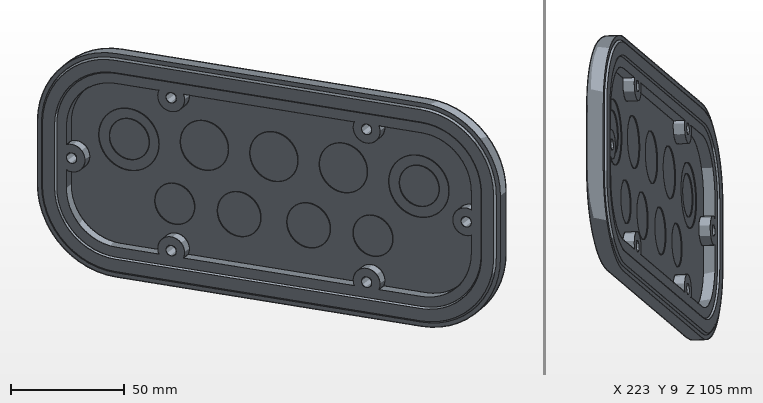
import cadquery as cq

LENGTH = 223.0
HEIGHT = 105.0
THICKNESS = 9.0
CORNER_RADIUS = 38.0
BACK_FILLET = 2.5

RIM_RISE = 1.0
RIM_BASE_INSET = 2.0
RIM_TOP_INSET = 3.0

SEAT_DEPTH = 1.0
SEAT_TOP_INSET = 8.7
SEAT_FLOOR_INSET = 9.4

POCKET_INSET = 14.0
POCKET_DEPTH = 5.1

BOSS_RADIUS = 6.5
HOLE_DIAMETER = 5.0
SIDE_BOSS_X = 95.0
EDGE_BOSS_X = 47.0
EDGE_BOSS_Z = 36.0

RECESS_DEPTH = 0.5
UPPER_ROW_Z = 13.8
LOWER_ROW_Z = -15.8
CENTER_RECESS = (0.0, UPPER_ROW_Z, 11.5)
PAIRED_RECESSES = [
    (33.5, UPPER_ROW_Z, 11.5),
    (16.7, LOWER_ROW_Z, 10.5),
    (47.7, LOWER_ROW_Z, 9.5),
]
STEPPED_RECESS_X = 69.8
STEPPED_RECESS_Z = 11.0
STEPPED_RECESS_RADIUS = 14.5
STEPPED_CORE_RADIUS = 9.5

FRONT_Y = -THICKNESS / 2
BACK_Y = THICKNESS / 2
FLANGE_Y = FRONT_Y + RIM_RISE
SEAT_Y = FRONT_Y + SEAT_DEPTH
POCKET_Y = SEAT_Y + POCKET_DEPTH
RECESS_Y = POCKET_Y + RECESS_DEPTH
CORE_Y = RECESS_Y + RECESS_DEPTH


def plane_at(y):
    """Workplane at the given y whose local axes are X and Z; its normal points to -Y."""
    return cq.Workplane("XZ", origin=(0, y, 0))


def outline(inset):
    """Rounded rectangle lying inset from the plate edge all round."""
    rectangle = cq.Sketch().rect(LENGTH - 2 * inset, HEIGHT - 2 * inset)
    return rectangle.vertices().fillet(CORNER_RADIUS - inset)


def prism(back_y, front_y, inset):
    """Straight-walled rounded block."""
    return plane_at(back_y).placeSketch(outline(inset)).extrude(back_y - front_y)


def frustum(back_y, back_inset, front_y, front_inset):
    """Rounded block whose wall slopes from one inset to the other."""
    front = outline(front_inset).moved(cq.Location(cq.Vector(0, 0, back_y - front_y)))
    return plane_at(back_y).placeSketch(outline(back_inset), front).loft()


def cylinders(points, radius, back_y, front_y):
    """Equal round bars along Y, one at each (x, z) point."""
    return plane_at(back_y).pushPoints(points).circle(radius).extrude(back_y - front_y)


def mirrored(x, z):
    """The point (x, z) and its mirror image about x = 0."""
    return [(-x, z), (x, z)]


plate = prism(BACK_Y, FLANGE_Y, 0).faces(">Y").edges().fillet(BACK_FILLET)
plate = plate.union(frustum(FLANGE_Y, RIM_BASE_INSET, FRONT_Y, RIM_TOP_INSET))
plate = plate.cut(frustum(SEAT_Y, SEAT_FLOOR_INSET, FRONT_Y, SEAT_TOP_INSET))

boss_points = mirrored(SIDE_BOSS_X, 0)
boss_points += mirrored(EDGE_BOSS_X, EDGE_BOSS_Z)
boss_points += mirrored(EDGE_BOSS_X, -EDGE_BOSS_Z)
bosses = cylinders(boss_points, BOSS_RADIUS, POCKET_Y, SEAT_Y)
plate = plate.cut(prism(POCKET_Y, SEAT_Y, POCKET_INSET).cut(bosses))

plate = plate.cut(cylinders(boss_points, HOLE_DIAMETER / 2, BACK_Y, FRONT_Y))

center_x, center_z, center_radius = CENTER_RECESS
plate = plate.cut(cylinders([(center_x, center_z)], center_radius, RECESS_Y, POCKET_Y))
for x, z, radius in PAIRED_RECESSES:
    plate = plate.cut(cylinders(mirrored(x, z), radius, RECESS_Y, POCKET_Y))

stepped_points = mirrored(STEPPED_RECESS_X, STEPPED_RECESS_Z)
plate = plate.cut(cylinders(stepped_points, STEPPED_RECESS_RADIUS, RECESS_Y, POCKET_Y))
plate = plate.cut(cylinders(stepped_points, STEPPED_CORE_RADIUS, CORE_Y, RECESS_Y))

result = plate